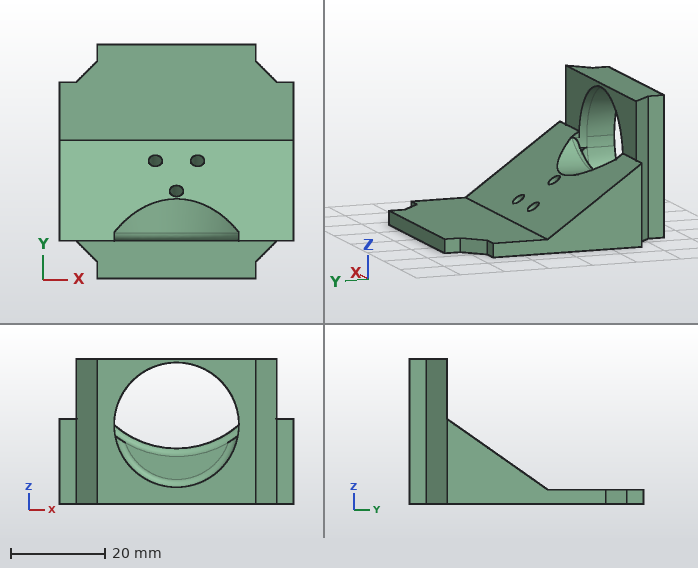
import cadquery as cq
import math

side = 49.8
half_side = side / 2
height = 30.9
base_thickness = 3.1

end_length = 8.0
taper_length = 4.45
shoulder_half_width = 21.3
end_half_width = 16.9
plate_back_y = -half_side + end_length

wedge_top_z = 18.15
wedge_toe_y = 4.55

opening_diameter = 26.5
opening_radius = opening_diameter / 2
opening_z = 16.85
trough_bottom_z = 11.85
blend_radius = 1.7

screw_diameter = 2.9
screw_pair_x = 4.5
screw_pair_y = 0.15
single_screw_y = -6.25

slope_angle = math.atan2(wedge_top_z - base_thickness, wedge_toe_y - plate_back_y)


def make_end(direction, thickness):
    """Tapered end; direction is -1 for the front and 1 for the back."""
    root_y = direction * (half_side - end_length)
    neck_y = root_y + direction * taper_length
    tip_y = direction * half_side
    return (
        cq.Workplane("XY")
        .polyline([
            (-shoulder_half_width, root_y),
            (-end_half_width, neck_y),
            (-end_half_width, tip_y),
            (end_half_width, tip_y),
            (end_half_width, neck_y),
            (shoulder_half_width, root_y),
        ])
        .close()
        .extrude(thickness)
    )


def make_wedge():
    """Full-width body: thin base at the back, rising towards the plate."""
    back_y = half_side - end_length
    return (
        cq.Workplane("YZ")
        .polyline([
            (plate_back_y, 0),
            (back_y, 0),
            (back_y, base_thickness),
            (wedge_toe_y, base_thickness),
            (plate_back_y, wedge_top_z),
        ])
        .close()
        .extrude(half_side, both=True)
    )


def make_trough():
    """Arc-bottomed channel, as wide as the opening, running back from the plate."""
    return (
        cq.Workplane("XZ", origin=(0, plate_back_y, 0))
        .moveTo(-opening_radius, height)
        .lineTo(-opening_radius, opening_z)
        .threePointArc((0, trough_bottom_z), (opening_radius, opening_z))
        .lineTo(opening_radius, height)
        .close()
        .extrude(-side)
    )


def make_rounded_opening():
    """Round opening up to the wedge face, with a concave blend around its floor."""
    return (
        cq.Workplane("XZ", origin=(0, plate_back_y, 0))
        .center(0, opening_z)
        .circle(opening_radius)
        .extrude(end_length)
        .faces(">Y")
        .edges()
        .fillet(blend_radius)
    )


def make_trough_flare():
    """Convex lip where the trough meets the crescent floor, clearing the plate in front.

    Turned about the trough axis and kept within the width of the opening.
    """
    sag = opening_z - trough_bottom_z
    trough_radius = (opening_radius**2 + sag**2) / (2 * sag)
    axis_z = trough_bottom_z + trough_radius
    flare_radius = trough_radius + blend_radius
    lip_end_y = plate_back_y + blend_radius
    blend_step = blend_radius * (1 - math.sqrt(0.5))
    flare = (
        cq.Workplane("YZ")
        .moveTo(-half_side, axis_z)
        .lineTo(-half_side, axis_z - flare_radius)
        .lineTo(plate_back_y, axis_z - flare_radius)
        .threePointArc(
            (plate_back_y + blend_step, axis_z - trough_radius - blend_step),
            (lip_end_y, axis_z - trough_radius),
        )
        .lineTo(lip_end_y, axis_z)
        .close()
        .revolve(360, (0, axis_z, 0), (1, axis_z, 0))
    )
    limit = (
        cq.Workplane("XZ", origin=(0, lip_end_y, 0))
        .center(0, opening_z)
        .circle(opening_radius)
        .extrude(end_length + blend_radius)
    )
    return flare.intersect(limit)


def make_screw_hole(x, y):
    """Through hole entering the slope at (x, y), square to its surface."""
    z = base_thickness + (wedge_toe_y - y) * math.tan(slope_angle)
    normal = cq.Vector(0, math.sin(slope_angle), math.cos(slope_angle))
    start = cq.Vector(x, y, z) + normal * screw_diameter
    return cq.Workplane(cq.Solid.makeCylinder(screw_diameter / 2, side, start, normal * -1))


result = (
    make_wedge()
    .cut(make_trough())
    .union(make_end(-1, height))
    .union(make_end(1, base_thickness))
    .cut(make_rounded_opening())
    .cut(make_trough_flare())
)

for screw_x, screw_y in [
    (-screw_pair_x, screw_pair_y),
    (screw_pair_x, screw_pair_y),
    (0, single_screw_y),
]:
    result = result.cut(make_screw_hole(screw_x, screw_y))